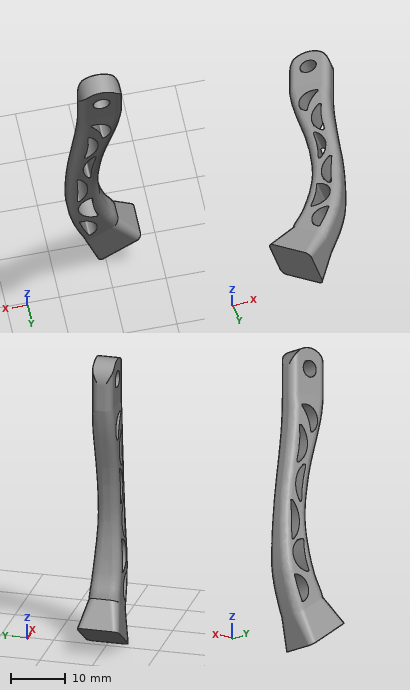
import cadquery as cq
import math

head_radius = 4.0
head_thickness = 4.0
head_corner_radius = 1.4
head_bottom_z = -5.0
pivot_hole_diameter = 3.15

joint_width = 5.9
joint_corner_radius = 1.7
foot_left = (-7.15, -47.35)
foot_right = (1.0, -53.05)
foot_width = 8.0
foot_corner_radius = 1.15

arm_sections = [
    ((-head_radius, head_bottom_z), (head_radius, head_bottom_z), head_thickness, head_corner_radius),
    ((-3.55, -8.0), (3.95, -7.7), 4.3, 1.4),
    ((-2.8, -11.1), (4.05, -10.25), 4.35, 1.4),
    ((-0.95, -17.7), (4.75, -16.55), 4.3, 1.4),
    ((0.15, -24.25), (5.7, -23.7), 4.15, 1.4),
    ((0.45, -28.55), (6.15, -29.1), 4.3, 1.4),
    ((0.2, -31.95), (6.3, -33.65), 4.6, 1.4),
    ((-0.75, -36.8), (5.95, -38.8), 5.25, 1.5),
    ((-2.0, -40.2), (4.8, -43.35), 5.65, 1.6),
    ((-3.2, -42.8), (3.35, -47.3), joint_width, joint_corner_radius),
]

windows = [
    ((2.15, -7.2), (-1.6, -8.75), (-0.1, -12.15), (0.8, -9.0)),
    ((2.6, -10.65), (0.7, -14.5), (3.35, -18.55), (2.6, -14.8)),
    ((0.85, -18.0), (3.4, -21.8), (2.0, -26.15), (1.8, -22.5)),
    ((4.7, -25.3), (2.7, -28.7), (4.6, -33.55), (4.5, -29.1)),
    ((1.7, -32.65), (4.45, -35.7), (0.7, -38.8), (1.55, -35.9)),
    ((4.35, -39.95), (1.0, -42.15), (2.5, -44.95), (3.6, -42.35)),
]
window_tip_radius = 0.3
cut_depth = 2 * foot_width


def section_wire(left, right, width, corner_radius):
    """Rounded rectangle spanning left to right in XZ and centred on Y = 0."""
    run = right[0] - left[0]
    rise = right[1] - left[1]
    plane = cq.Plane(
        origin=((left[0] + right[0]) / 2, 0, (left[1] + right[1]) / 2),
        xDir=(run, 0, rise),
        normal=(-rise, 0, run),
    )
    rectangle = cq.Workplane(plane).rect(math.hypot(run, rise), width).val()
    return rectangle.fillet2D(corner_radius, rectangle.Vertices())


def loft_sections(sections, ruled):
    wires = [section_wire(*section) for section in sections]
    return cq.Workplane(cq.Solid.makeLoft(wires, ruled))


def make_head():
    column = (
        cq.Workplane("XY", origin=(0, 0, head_bottom_z))
        .rect(2 * head_radius, head_thickness)
        .extrude(head_radius - head_bottom_z)
        .edges("|Z")
        .fillet(head_corner_radius)
    )
    arch = (
        cq.Workplane("XZ")
        .moveTo(-head_radius, head_bottom_z)
        .lineTo(head_radius, head_bottom_z)
        .lineTo(head_radius, 0)
        .threePointArc((0, head_radius), (-head_radius, 0))
        .close()
        .extrude(head_thickness, both=True)
    )
    return column.intersect(arch)


def make_window(upper_tip, bulge, lower_tip, flat_side):
    return (
        cq.Workplane("XZ")
        .moveTo(*upper_tip)
        .threePointArc(bulge, lower_tip)
        .threePointArc(flat_side, upper_tip)
        .close()
        .extrude(cut_depth / 2, both=True)
        .edges("|Y")
        .fillet(window_tip_radius)
    )


arm = loft_sections(arm_sections, ruled=False)
foot_section = (foot_left, foot_right, foot_width, foot_corner_radius)
foot = loft_sections([arm_sections[-1], foot_section], ruled=True)
result = make_head().union(arm).union(foot)

for window in windows:
    result = result.cut(make_window(*window))

pivot_hole = cq.Workplane("XZ").circle(pivot_hole_diameter / 2).extrude(cut_depth / 2, both=True)
result = result.cut(pivot_hole)